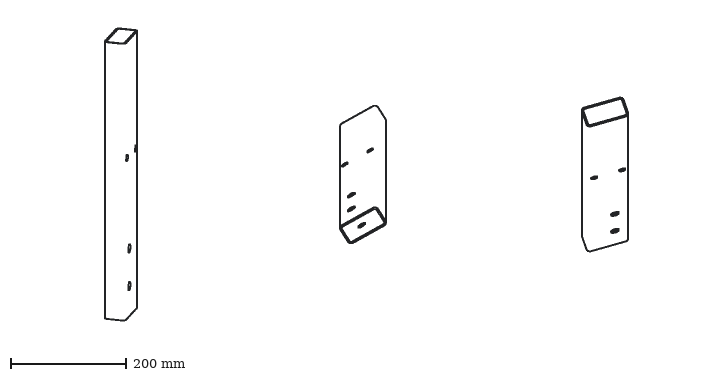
import cadquery as cq

width = 38.5
depth = 76.0
length = 511.0
wall = 3.0
corner_radius = 6.5
inner_corner_radius = corner_radius - wall

small_hole_diameter = 11.0
small_hole_spacing = 51.0
small_hole_height = 297.0

large_hole_diameter = 14.5
large_hole_y = -12.5
large_hole_heights = (55.5, 125.0)


def rounded_bar(size_x, size_y, radius):
    """Solid bar of full length with rounded vertical edges."""
    bar = cq.Workplane("XY").rect(size_x, size_y).extrude(length)
    return bar.edges("|Z").fillet(radius)


def cross_holes(diameter, centres):
    """Cylinders along X that pass through both side walls at (y, z) centres."""
    plane = cq.Workplane("YZ").pushPoints(centres)
    return plane.circle(diameter / 2).extrude(width, both=True)


outside = rounded_bar(width, depth, corner_radius)
inside = rounded_bar(width - 2 * wall, depth - 2 * wall, inner_corner_radius)
tube = outside.cut(inside)

small_hole_centres = [(side * small_hole_spacing / 2, small_hole_height) for side in (-1, 1)]
large_hole_centres = [(large_hole_y, height) for height in large_hole_heights]

tube = tube.cut(cross_holes(small_hole_diameter, small_hole_centres))
result = tube.cut(cross_holes(large_hole_diameter, large_hole_centres))